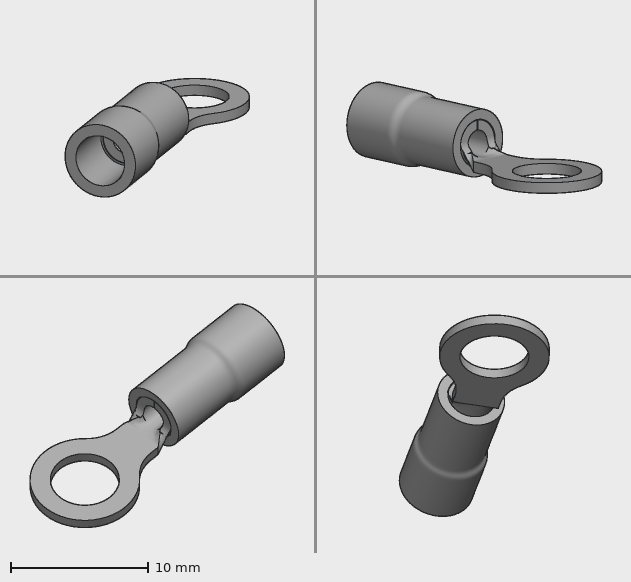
import cadquery as cq
import math

sleeve_length = 10.92
entry_radius = 2.78
grip_radius = 2.5
flare_start = 4.3
flare_end = 5.3
entry_bore_radius = 1.9
grip_bore_radius = 1.75
bore_step = (flare_start + flare_end) / 2

barrel_radius = 1.7
barrel_bore_radius = 0.95
seam_width = 0.07
barrel_start = bore_step
barrel_end = 11.12

overall_length = 22.2
plate_thickness = 0.8
plate_bottom = -barrel_radius
plate_top = plate_bottom + plate_thickness
neck_start = 12.25
neck_half_width = barrel_radius
ring_radius = 4.0
stud_hole_radius = 2.5
neck_fillet_radius = 3.0
ring_center = overall_length - ring_radius

trough_rim = -0.33
relief_radius = 0.89
relief_start = 10.88
relief_end = 11.35
relief_center_z = 0.27


def make_sleeve():
    """Flared tube with a wide entry bore stepping down onto the barrel."""
    flare_middle = (flare_start + flare_end) / 2
    middle_radius = (entry_radius + grip_radius) / 2
    flare_length = flare_end - flare_start
    flare_height = entry_radius - grip_radius
    turn_angle = 2 * math.atan2(flare_height, flare_length)
    arc_radius = flare_length / (2 * math.sin(turn_angle))
    half_run = arc_radius * math.sin(turn_angle / 2)
    half_drop = arc_radius * (1 - math.cos(turn_angle / 2))
    profile = (
        cq.Workplane("XY")
        .moveTo(entry_bore_radius, 0)
        .lineTo(entry_radius, 0)
        .lineTo(entry_radius, flare_start)
        .threePointArc((entry_radius - half_drop, flare_start + half_run), (middle_radius, flare_middle))
        .threePointArc((grip_radius + half_drop, flare_end - half_run), (grip_radius, flare_end))
        .lineTo(grip_radius, sleeve_length)
        .lineTo(grip_bore_radius, sleeve_length)
        .lineTo(grip_bore_radius, bore_step)
        .lineTo(entry_bore_radius, bore_step)
        .close()
    )
    return profile.revolve(360, (0, 0, 0), (0, 1, 0))


def section_plane(y):
    """Cross-section plane at Y = y, with local axes along X and Z."""
    return cq.Workplane(cq.Plane(origin=(0, y, 0), xDir=(1, 0, 0), normal=(0, -1, 0)))


def make_barrel():
    """Tube split by a narrow seam along its top."""
    length = barrel_end - barrel_start
    tube = section_plane(barrel_end).circle(barrel_radius).circle(barrel_bore_radius).extrude(length)
    seam = (
        section_plane(barrel_end)
        .center(0, barrel_radius / 2)
        .rect(seam_width, barrel_radius)
        .extrude(length)
    )
    return tube.cut(seam)


def make_transition():
    """Ruled solid blending the lower trough of the barrel into the flat neck."""
    outer_x = math.sqrt(barrel_radius**2 - trough_rim**2)
    inner_x = math.sqrt(barrel_bore_radius**2 - trough_rim**2)

    def trough_point(x, z):
        return cq.Vector(x, barrel_end, z)

    def neck_point(x, z):
        return cq.Vector(x, neck_start, z)

    outer_left = trough_point(-outer_x, trough_rim)
    outer_right = trough_point(outer_x, trough_rim)
    inner_right = trough_point(inner_x, trough_rim)
    inner_left = trough_point(-inner_x, trough_rim)
    trough_edges = [
        cq.Edge.makeThreePointArc(outer_left, trough_point(0, -barrel_radius), outer_right),
        cq.Edge.makeLine(outer_right, inner_right),
        cq.Edge.makeThreePointArc(inner_right, trough_point(0, -barrel_bore_radius), inner_left),
        cq.Edge.makeLine(inner_left, outer_left),
    ]
    neck_corners = [
        neck_point(-neck_half_width, plate_bottom),
        neck_point(neck_half_width, plate_bottom),
        neck_point(neck_half_width, plate_top),
        neck_point(-neck_half_width, plate_top),
    ]
    neck_edges = [
        cq.Edge.makeLine(corner, neck_corners[(i + 1) % len(neck_corners)])
        for i, corner in enumerate(neck_corners)
    ]
    end_faces = [
        cq.Face.makeFromWires(cq.Wire.assembleEdges(edges)) for edges in (trough_edges, neck_edges)
    ]
    side_faces = [
        cq.Face.makeRuledSurface(trough_edge, neck_edge)
        for trough_edge, neck_edge in zip(trough_edges, neck_edges)
    ]
    shell = cq.Shell.makeShell(end_faces + side_faces)
    return cq.Workplane(cq.Solid.makeSolid(shell).fix())


def make_tongue():
    """Flat neck blending through two concave arcs into a ring."""
    fillet_x = neck_half_width + neck_fillet_radius
    center_distance = ring_radius + neck_fillet_radius
    fillet_y = ring_center - math.sqrt(center_distance**2 - fillet_x**2)
    ring_share = ring_radius / center_distance
    tangent_x = fillet_x * ring_share
    tangent_y = ring_center + (fillet_y - ring_center) * ring_share
    half_sweep = math.atan2(tangent_y - fillet_y, fillet_x - tangent_x) / 2
    middle_x = fillet_x - neck_fillet_radius * math.cos(half_sweep)
    middle_y = fillet_y + neck_fillet_radius * math.sin(half_sweep)
    return (
        cq.Workplane("XY", origin=(0, 0, plate_bottom))
        .moveTo(-neck_half_width, neck_start)
        .lineTo(neck_half_width, neck_start)
        .lineTo(neck_half_width, fillet_y)
        .threePointArc((middle_x, middle_y), (tangent_x, tangent_y))
        .threePointArc((0, overall_length), (-tangent_x, tangent_y))
        .threePointArc((-middle_x, middle_y), (-neck_half_width, fillet_y))
        .close()
        .moveTo(0, ring_center)
        .circle(stud_hole_radius)
        .extrude(plate_thickness)
    )


def make_relief():
    """Cutter with a concave lower edge that trims the barrel's upper end."""
    center_y = relief_start + relief_radius
    end_angle = math.acos((center_y - relief_end) / relief_radius)

    def arc_point(angle):
        return (
            center_y - relief_radius * math.cos(angle),
            relief_center_z - relief_radius * math.sin(angle),
        )

    return (
        cq.Workplane("YZ")
        .moveTo(relief_start, barrel_radius)
        .lineTo(relief_start, relief_center_z)
        .threePointArc(arc_point(end_angle / 2), arc_point(end_angle))
        .lineTo(relief_end, barrel_radius)
        .close()
        .extrude(barrel_radius, both=True)
    )


def make_terminal():
    """One-piece metal terminal: barrel, transition and ring tongue."""
    barrel_and_trough = make_barrel().union(make_transition()).cut(make_relief())
    return barrel_and_trough.union(make_tongue())


sleeve = make_sleeve()
terminal = make_terminal()
result = cq.Compound.makeCompound([sleeve.val(), *terminal.vals()])